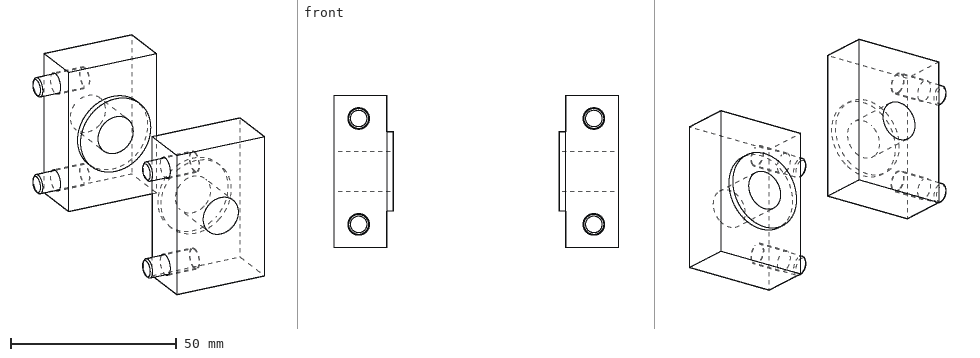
import cadquery as cq


OVERALL_LENGTH = 86.0

BLOCK_THICKNESS = 16.0
BLOCK_DEPTH = 30.0
BLOCK_HEIGHT = 46.0
BOSS_DIAMETER = 24.0
BOSS_HEIGHT = 2.0
BORE_DIAMETER = 12.0

PIN_DIAMETER = 6.0
PIN_PROTRUSION = 6.45
PIN_CHAMFER = 0.5
PIN_SPACING = 32.0
PIN_FROM_OUTER_FACE = 7.5
PIN_HOLE_CLEARANCE = 0.3
PIN_HOLE_DEPTH = 10.0

OUTER_FACE_X = OVERALL_LENGTH / 2
FRONT_FACE_Y = -BLOCK_DEPTH / 2
PIN_SEAT_Y = FRONT_FACE_Y + PIN_HOLE_DEPTH
PIN_X = OUTER_FACE_X - PIN_FROM_OUTER_FACE
PIN_LEVELS = (-PIN_SPACING / 2, PIN_SPACING / 2)
PIN_HOLE_DIAMETER = PIN_DIAMETER + 2 * PIN_HOLE_CLEARANCE
BLOCK_SIDES = (-1, 1)


def rod_from_seat(x, z, diameter, length):
    """Cylinder that runs forward (-Y) from the bottom of a pin hole."""
    seat = cq.Workplane("XZ", origin=(x, PIN_SEAT_Y, z))
    return seat.circle(diameter / 2).extrude(length)


def make_block(side):
    """Block with an inward boss, a through bore and two blind pin holes."""
    outer_face = cq.Workplane("YZ", origin=(side * OUTER_FACE_X, 0, 0))
    block_reach = -side * BLOCK_THICKNESS
    boss_reach = -side * (BLOCK_THICKNESS + BOSS_HEIGHT)
    body = outer_face.rect(BLOCK_DEPTH, BLOCK_HEIGHT).extrude(block_reach)
    boss = outer_face.circle(BOSS_DIAMETER / 2).extrude(boss_reach)
    bore = outer_face.circle(BORE_DIAMETER / 2).extrude(boss_reach)
    block = body.union(boss).cut(bore)
    for level in PIN_LEVELS:
        block = block.cut(rod_from_seat(side * PIN_X, level, PIN_HOLE_DIAMETER, PIN_HOLE_DEPTH))
    return block


def make_pin(side, level):
    """Pin resting on the bottom of its hole, with a chamfered free end."""
    pin = rod_from_seat(side * PIN_X, level, PIN_DIAMETER, PIN_HOLE_DEPTH + PIN_PROTRUSION)
    return pin.faces("<Y").chamfer(PIN_CHAMFER)


blocks = []
pins = []
for side in BLOCK_SIDES:
    blocks.append(make_block(side).val())
    for level in PIN_LEVELS:
        pins.append(make_pin(side, level).val())

result = cq.Compound.makeCompound([*blocks, *pins])